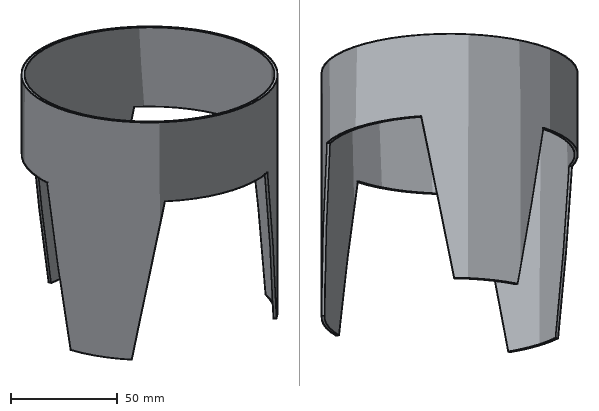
import cadquery as cq
import math

height = 120.0
outer_diameter = 120.0
inner_diameter = 117.0
band_height = height / 3
leg_count = 3
leg_root_angle = 60.0
leg_tip_angle = 30.0
first_leg_direction = -90.0

leg_length = height - band_height
wedge_reach = outer_diameter


def sector_points(span_angle):
    """Triangle with its point on the axis, spanning the given angle about +X."""
    half_angle = math.radians(span_angle / 2)
    x = wedge_reach * math.cos(half_angle)
    y = wedge_reach * math.sin(half_angle)
    return [(0, 0), (x, -y), (x, y)]


def leg_wedge(direction):
    """Wedge with radial sides that narrows from the leg root to its tip."""
    wedge = (
        cq.Workplane("XY")
        .polyline(sector_points(leg_tip_angle))
        .close()
        .workplane(offset=leg_length)
        .polyline(sector_points(leg_root_angle))
        .close()
        .loft(ruled=True)
    )
    return wedge.rotate((0, 0, 0), (0, 0, 1), direction)


def ring(ring_height):
    """Thin-walled tube standing on the XY plane."""
    return (
        cq.Workplane("XY")
        .circle(outer_diameter / 2)
        .circle(inner_diameter / 2)
        .extrude(ring_height)
    )


result = ring(band_height).translate((0, 0, leg_length))

for index in range(leg_count):
    direction = first_leg_direction + index * 360 / leg_count
    leg = ring(leg_length).intersect(leg_wedge(direction))
    result = result.union(leg)